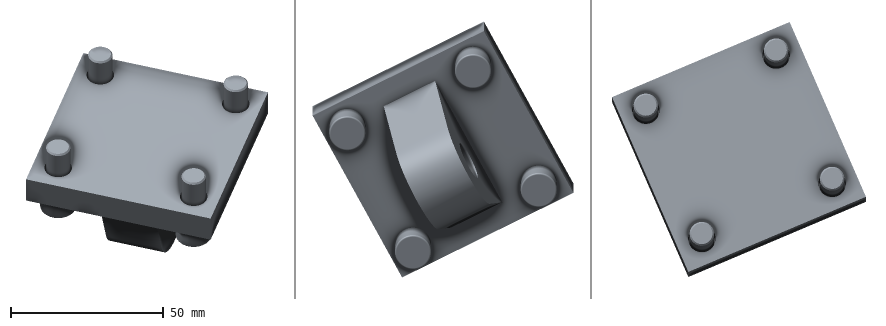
import cadquery as cq
import math

plate_side = 63.5
plate_thickness = 9.5

lug_width = 19.05
lug_root_half_width = 23.8
eye_depth = 19.05
eye_diameter = 12.8
lug_nose_radius = 15.9
nose_start_drop = 4.5

screw_spacing = 46.6
shank_diameter = 8.0
shank_protrusion = 9.5
shank_chamfer = 0.5
head_diameter = 11.9
head_height = 7.9
head_fillet = 0.5
clearance_diameter = 9.0

half_spacing = screw_spacing / 2
screw_positions = [(x, y) for x in (-half_spacing, half_spacing) for y in (-half_spacing, half_spacing)]


def make_lug():
    """Tapered lug with a round nose and a cross hole along X."""
    nose_half_width = math.sqrt(lug_nose_radius**2 - nose_start_drop**2)
    nose_start_z = -eye_depth - nose_start_drop
    nose_bottom_z = -eye_depth - lug_nose_radius
    lug = (
        cq.Workplane("YZ")
        .moveTo(-lug_root_half_width, 0)
        .lineTo(-nose_half_width, nose_start_z)
        .threePointArc((0, nose_bottom_z), (nose_half_width, nose_start_z))
        .lineTo(lug_root_half_width, 0)
        .close()
        .extrude(lug_width / 2, both=True)
    )
    eye = (
        cq.Workplane("YZ")
        .center(0, -eye_depth)
        .circle(eye_diameter / 2)
        .extrude(lug_width / 2, both=True)
    )
    return lug.cut(eye)


def make_bracket():
    """Plate with four clearance holes, in one piece with its lug."""
    plate = cq.Workplane("XY").rect(plate_side, plate_side).extrude(plate_thickness)
    clearance_holes = (
        cq.Workplane("XY")
        .pushPoints(screw_positions)
        .circle(clearance_diameter / 2)
        .extrude(plate_thickness)
    )
    return plate.cut(clearance_holes).union(make_lug())


def make_screw(x, y):
    """Cap screw whose head bears on the plate's underside."""
    head = (
        cq.Workplane("XY")
        .circle(head_diameter / 2)
        .extrude(-head_height)
        .faces("<Z")
        .edges()
        .fillet(head_fillet)
    )
    shank = (
        cq.Workplane("XY")
        .circle(shank_diameter / 2)
        .extrude(plate_thickness + shank_protrusion)
        .faces(">Z")
        .edges()
        .chamfer(shank_chamfer)
    )
    return head.union(shank).translate((x, y, 0))


bracket = make_bracket()
screws = [make_screw(x, y) for x, y in screw_positions]

result = cq.Compound.makeCompound([bracket.solids().val(), *[screw.solids().val() for screw in screws]])